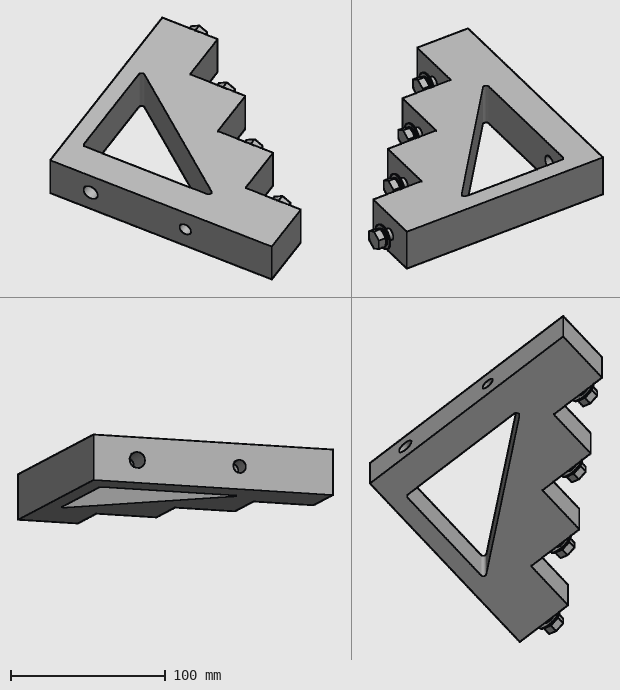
import cadquery as cq
import math

step_count = 4
step_run = 41.0
step_rise = 37.0
first_step_height = 39.0
thickness = 30.0
mid_height = thickness / 2
block_length = step_count * step_run

window_left = 12.0
window_bottom = 22.0
window_corner_radius = 2
window_width = 97.6
window_rise = 79.2

through_hole_x = 30.0
through_hole_diameter = 10.5
blind_hole_x = 100.0
blind_hole_diameter = 8.5
blind_hole_depth = 15.0
drill_point_angle = math.radians(118.0)

shank_diameter = 8.0
shank_height = 5.0
washer_diameter = 17.0
washer_thickness = 0.8
collar_diameter = 12.0
collar_thickness = 1.2
head_across_flats = 12.0
head_height = 5.3
shank_embedment = 1.0


def tread_height(index):
    """Y level of a tread, counted from the tallest one at the left."""
    return first_step_height + (step_count - 1 - index) * step_rise


def make_block():
    outline = [(0, 0)]
    for index in range(step_count):
        outline.append((index * step_run, tread_height(index)))
        outline.append(((index + 1) * step_run, tread_height(index)))
    outline.append((block_length, 0))
    return cq.Workplane("XY").polyline(outline).close().extrude(thickness)


def make_window():
    corners = [
        (window_left, window_bottom),
        (window_left + window_width, window_bottom),
        (window_left, window_bottom + window_rise),
    ]
    prism = cq.Workplane("XY").polyline(corners).close().extrude(thickness)
    return prism.edges("|Z").fillet(window_corner_radius)


def along_y(x, y):
    """Workplane at mid thickness whose normal points along +Y."""
    return cq.Workplane(cq.Plane(origin=(x, y, mid_height), xDir=(1, 0, 0), normal=(0, 1, 0)))


def make_through_hole():
    """Hole from the front face into the window."""
    depth = window_bottom + window_corner_radius
    return along_y(through_hole_x, 0).circle(through_hole_diameter / 2).extrude(depth)


def make_blind_hole():
    """Blind hole with a conical drill point."""
    radius = blind_hole_diameter / 2
    tip_depth = blind_hole_depth + radius / math.tan(drill_point_angle / 2)
    profile = [(0, 0), (radius, 0), (radius, blind_hole_depth), (0, tip_depth)]
    hole = cq.Workplane("XY").polyline(profile).close().revolve(360, (0, 0), (0, 1))
    return hole.translate((blind_hole_x, 0, mid_height))


def make_bolt(x, y):
    washer_y = y + shank_height
    collar_y = washer_y + washer_thickness
    head_y = collar_y + collar_thickness
    shank_length = shank_embedment + shank_height
    across_corners = head_across_flats / math.cos(math.pi / 6)

    shank = along_y(x, y - shank_embedment).circle(shank_diameter / 2).extrude(shank_length)
    washer = along_y(x, washer_y).circle(washer_diameter / 2).extrude(washer_thickness)
    collar = along_y(x, collar_y).circle(collar_diameter / 2).extrude(collar_thickness)
    head = along_y(x, head_y).transformed(rotate=(0, 0, 90)).polygon(6, across_corners).extrude(head_height)
    return shank.union(washer).union(collar).union(head)


result = make_block().cut(make_window()).cut(make_through_hole()).cut(make_blind_hole())
for index in range(step_count):
    result = result.union(make_bolt((index + 0.5) * step_run, tread_height(index)))